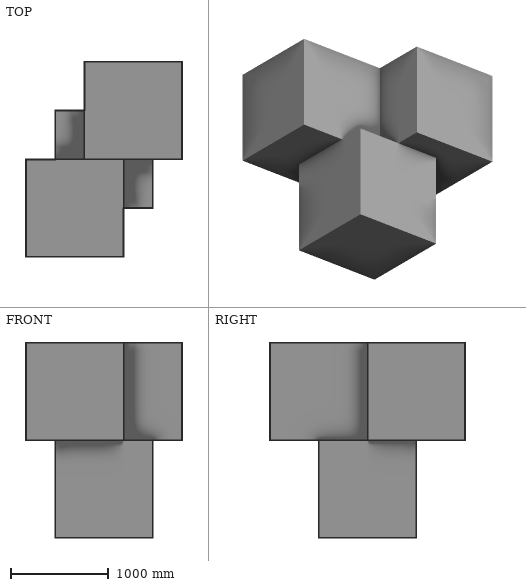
import cadquery as cq

cube_side = 1000.0
upper_shift_x = 600.0

base_x = upper_shift_x / 2
base_y = cube_side / 2


def cube_at(x, y, z):
    """Cube whose lowest-coordinate corner is at (x, y, z)."""
    return cq.Workplane("XY").box(cube_side, cube_side, cube_side, centered=False).translate((x, y, z))


base_cube = cube_at(base_x, base_y, 0)

upper_corners = [(0, 0), (upper_shift_x, cube_side)]
upper_cubes = [cube_at(x, y, cube_side) for x, y in upper_corners]

result = cq.Compound.makeCompound([base_cube.val(), *[cube.val() for cube in upper_cubes]])